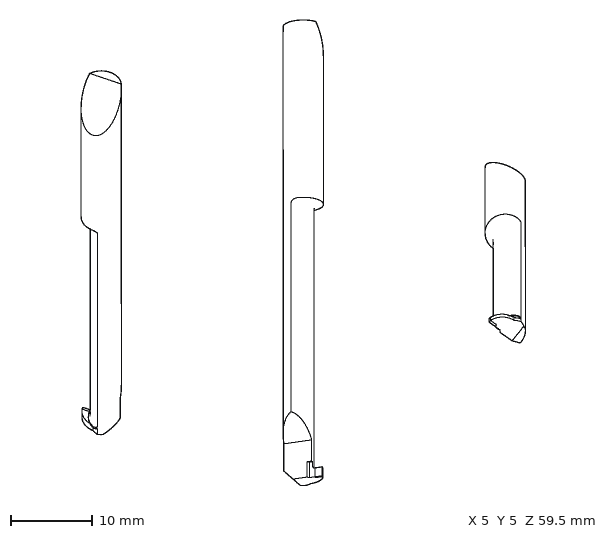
import cadquery as cq
import math

length = 59.5
radius = 2.5
top_flat_edge_y = 1.25
top_slant_angle = 60.0

neck_offset = 1.25
shoulder_z = 36.1
shoulder_fillet = 0.5

relief_y = 0.27
relief_flat_top_z = 4.8
relief_slope_height = 3.35

head_height = 1.2
head_top_drop = 0.25
foot_fillet = 0.25
head_land_y = -0.3
head_curve_middle = (-1.4, -1.635)
head_curve_end = (0.3, -2.05)
heel_chamfer = 1.25

pocket_top_z = 2.0
pocket_floor_y = 0.0
pocket_floor_end_x = -0.85
pocket_wall_run = 0.25

tip_inner_x = -1.55

margin = 0.6
reach = radius + margin


def extrude_along_x(points):
    """Prism with a YZ outline, wider than the bar."""
    return cq.Workplane("YZ").polyline(points).close().extrude(reach, both=True)


def make_bar():
    bar = cq.Workplane("XY").circle(radius).extrude(length)
    slant_depth = (top_flat_edge_y + radius) * math.tan(math.radians(top_slant_angle))
    extra_depth = margin * math.tan(math.radians(top_slant_angle))
    slant = extrude_along_x([
        (top_flat_edge_y, length),
        (-reach, length - slant_depth - extra_depth),
        (-reach, length),
    ])
    return bar.cut(slant)


def make_neck():
    """Round core of the neck with concave flares up to the shoulder and down to the head."""
    profile = (
        cq.Workplane("XZ", origin=(neck_offset, 0, 0))
        .lineTo(radius, 0)
        .lineTo(radius, head_height - head_top_drop)
        .lineTo(radius + foot_fillet, head_height - head_top_drop)
        .lineTo(radius + foot_fillet, head_height)
        .radiusArc((radius, head_height + foot_fillet), foot_fillet)
        .lineTo(radius, shoulder_z - shoulder_fillet)
        .radiusArc((radius + shoulder_fillet, shoulder_z), shoulder_fillet)
        .lineTo(0, shoulder_z)
        .close()
    )
    return profile.revolve(360, (0, 0, 0), (0, 1, 0))


def make_head():
    neck_edge_x = neck_offset / 2
    neck_edge_y = -math.sqrt(radius**2 - neck_edge_x**2)
    head = (
        cq.Workplane("XY")
        .moveTo(-radius, relief_y)
        .lineTo(-radius, head_land_y)
        .threePointArc(head_curve_middle, head_curve_end)
        .lineTo(neck_edge_x, neck_edge_y)
        .lineTo(neck_edge_x, relief_y)
        .close()
        .extrude(head_height)
    )
    top_clearance = extrude_along_x([
        (pocket_floor_y, head_height),
        (-radius, head_height - head_top_drop),
        (-radius, head_height),
    ])
    return head.cut(top_clearance)


def make_neck_cutter():
    """Material of the bar below the shoulder that lies outside the neck and the head."""
    block = cq.Workplane("XY").rect(2 * reach, 2 * reach).extrude(shoulder_z)
    return block.cut(make_neck()).cut(make_head())


def make_rear_relief():
    slope_top_z = relief_flat_top_z + relief_slope_height
    return extrude_along_x([
        (relief_y, 0),
        (relief_y, relief_flat_top_z),
        (radius, slope_top_z),
        (reach, slope_top_z),
        (reach, 0),
    ])


def make_heel_chamfer():
    return (
        cq.Workplane("XZ")
        .polyline([(radius - heel_chamfer, 0), (radius, heel_chamfer), (radius, 0)])
        .close()
        .extrude(reach, both=True)
    )


def make_chip_pocket():
    return (
        cq.Workplane("XY")
        .polyline([
            (-reach, pocket_floor_y),
            (pocket_floor_end_x, pocket_floor_y),
            (pocket_floor_end_x + pocket_wall_run, relief_y),
            (-reach, relief_y),
        ])
        .close()
        .extrude(pocket_top_z)
    )


def make_tip_envelope():
    """Block that bounds the cutting tip between the land and the pocket floor."""
    return cq.Workplane("XY").box(
        tip_inner_x + radius, pocket_floor_y - head_land_y, head_height, centered=False
    ).translate((-radius, head_land_y, 0))


tool = (
    make_bar()
    .cut(make_neck_cutter())
    .cut(make_rear_relief())
    .cut(make_heel_chamfer())
    .cut(make_chip_pocket())
)

cutting_tip = tool.intersect(make_tip_envelope())
holder = tool.cut(make_tip_envelope())

result = cq.Compound.makeCompound([holder.val(), cutting_tip.val()])